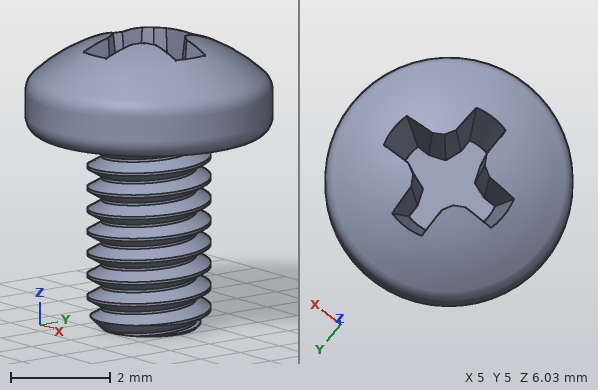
import math

import cadquery as cq


head_diameter = 5.0
head_height = 2.105
dome_radius = 3.5
shoulder_fillet = 0.4
underside_fillet = 0.37

shank_length = 4.0
thread_diameter = 2.5
pitch = 0.45
flank_half_angle = math.radians(30)
crest_flat = pitch / 8
root_flat = pitch / 8
first_groove_z = -0.298
groove_overshoot = 0.01
envelope_clearance = 0.02
spare_turns = 2

recess_floor_z = 0.17
wing_half_width = 0.247
wing_tip_radius = 1.02
wing_bend_distance = 0.71
corner_offset = 0.371
side_draft = math.radians(4.5)
bend_draft = math.radians(0.8)
tip_draft = math.radians(14)

head_radius = head_diameter / 2
thread_radius = thread_diameter / 2
thread_depth = (pitch - crest_flat - root_flat) / 2 / math.tan(flank_half_angle)
root_radius = thread_radius - thread_depth
spare_length = spare_turns * pitch
recess_height = head_height - recess_floor_z


def make_head():
    """Revolve the head: rounded rim below, spherical dome on top."""
    dome_center_z = head_height - dome_radius
    shoulder_center_r = head_radius - shoulder_fillet
    shoulder_tilt = math.asin(shoulder_center_r / (dome_radius - shoulder_fillet))
    shoulder_center_z = dome_center_z + (dome_radius - shoulder_fillet) * math.cos(shoulder_tilt)

    def on_dome(tilt):
        return dome_radius * math.sin(tilt), dome_center_z + dome_radius * math.cos(tilt)

    def on_shoulder(tilt):
        return (
            shoulder_center_r + shoulder_fillet * math.sin(tilt),
            shoulder_center_z + shoulder_fillet * math.cos(tilt),
        )

    underside_center_r = head_radius - underside_fillet
    underside_mid = (
        underside_center_r + underside_fillet * math.sin(math.pi / 4),
        underside_fillet - underside_fillet * math.cos(math.pi / 4),
    )
    profile = (
        cq.Workplane("XZ")
        .lineTo(underside_center_r, 0)
        .threePointArc(underside_mid, (head_radius, underside_fillet))
        .lineTo(head_radius, shoulder_center_z)
        .threePointArc(on_shoulder((shoulder_tilt + math.pi / 2) / 2), on_dome(shoulder_tilt))
        .threePointArc(on_dome(shoulder_tilt / 2), (0, head_height))
        .close()
    )
    return profile.revolve(360, (0, 0, 0), (0, 1, 0))


def make_groove():
    """Sweep the trapezoidal thread groove along a right-handed helix."""
    turns_below = math.ceil((shank_length + first_groove_z) / pitch) + spare_turns
    turns_above = spare_turns
    start_z = first_groove_z - turns_below * pitch
    helix = cq.Wire.makeHelix(pitch, (turns_below + turns_above) * pitch, root_radius)
    outer_radius = thread_radius + groove_overshoot
    root_half = root_flat / 2
    mouth_half = root_half + (outer_radius - root_radius) * math.tan(flank_half_angle)
    section = (
        cq.Workplane("XZ")
        .moveTo(root_radius, root_half)
        .lineTo(outer_radius, mouth_half)
        .lineTo(outer_radius, -mouth_half)
        .lineTo(root_radius, -root_half)
        .close()
    )
    return section.sweep(cq.Workplane(obj=helix), isFrenet=True).translate((0, 0, start_z))


def make_shank():
    """Thread a long rod, then trim it to length with a 45 degree point down to the root."""
    rod = (
        cq.Workplane("XY", origin=(0, 0, -shank_length - spare_length))
        .circle(thread_radius)
        .extrude(shank_length + 2 * spare_length)
    )
    envelope_radius = thread_radius + envelope_clearance
    envelope = (
        cq.Workplane("XY", origin=(0, 0, -shank_length))
        .circle(envelope_radius)
        .extrude(shank_length)
        .faces("<Z")
        .chamfer(envelope_radius - root_radius)
    )
    return rod.cut(make_groove()).intersect(envelope)


def cross_outline(height):
    """Points of the cross at a height above the recess floor, with wings left overlong."""
    half_width = wing_half_width + height * math.tan(side_draft)
    bend = wing_bend_distance + height * math.tan(bend_draft)
    corner = corner_offset + height * math.tan(side_draft)
    points = []
    for quarter in range(4):
        cos_q = round(math.cos(quarter * math.pi / 2))
        sin_q = round(math.sin(quarter * math.pi / 2))
        quadrant = [
            (head_radius, half_width),
            (bend, half_width),
            (corner, corner),
            (half_width, bend),
            (half_width, head_radius),
        ]
        points += [(x * cos_q - y * sin_q, x * sin_q + y * cos_q) for x, y in quadrant]
    return points


def make_recess():
    """Tapered cross whose wing tips lie on one cone."""
    floor = cq.Workplane("XY", origin=(0, 0, recess_floor_z))
    cross = (
        floor.polyline(cross_outline(0))
        .close()
        .workplane(offset=recess_height)
        .polyline(cross_outline(recess_height))
        .close()
        .loft(ruled=True)
    )
    tip_cone = floor.circle(wing_tip_radius).extrude(recess_height, taper=-math.degrees(tip_draft))
    return cross.intersect(tip_cone)


result = make_head().union(make_shank()).cut(make_recess())